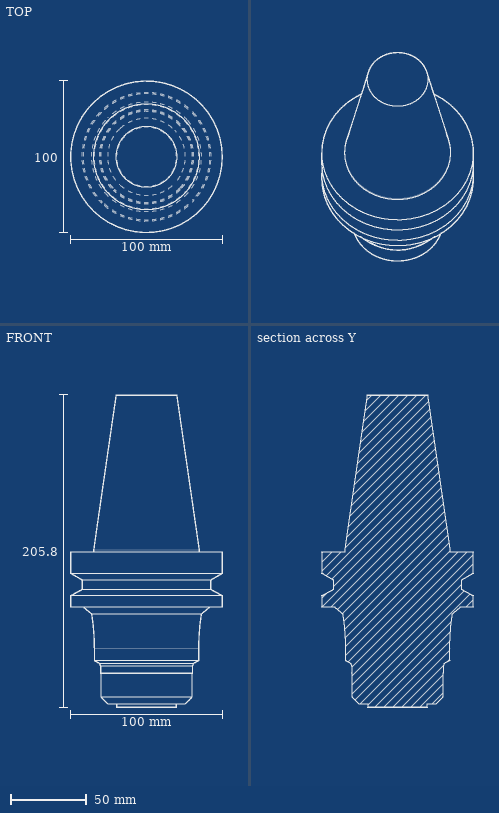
import cadquery as cq

total_height = 205.8

spigot_diameter = 39.3
nut_diameter = 60.0
neck_diameter = 60.7
neck_top_diameter = 62.2
collar_diameter = 69.0
body_top_diameter = 72.5
flange_root_diameter = 83.3
groove_diameter = 85.0
flange_diameter = 100.0
taper_large_diameter = 69.8
taper_small_diameter = 40.1

nut_bottom = 2.3
nut_chamfer = 4.5
nut_top = 22.2
nut_step_top = 22.6
neck_top = 27.2
collar_chamfer_bottom = 29.0
collar_bottom = 30.9
collar_top = 38.9
body_top = 61.5
flange_bottom = 66.0
groove_lower_edge = 73.7
groove_floor_bottom = 77.8
groove_floor_top = 84.0
groove_upper_edge = 88.3
flange_top = 102.5
taper_bottom = 103.7


def at(diameter, height):
    """Profile point in the XZ half plane."""
    return (diameter / 2, height)


profile = (
    cq.Workplane("XZ")
    .lineTo(*at(spigot_diameter, 0))
    .lineTo(*at(spigot_diameter, nut_bottom))
    .lineTo(*at(nut_diameter - 2 * nut_chamfer, nut_bottom))
    .lineTo(*at(nut_diameter, nut_bottom + nut_chamfer))
    .lineTo(*at(nut_diameter, nut_top))
    .lineTo(*at(neck_diameter, nut_step_top))
    .lineTo(*at(neck_diameter, neck_top))
    .lineTo(*at(neck_top_diameter, collar_chamfer_bottom))
    .lineTo(*at(collar_diameter, collar_bottom))
    .lineTo(*at(collar_diameter, collar_top))
    .tangentArcPoint(at(body_top_diameter, body_top), relative=False)
    .lineTo(*at(flange_root_diameter, flange_bottom))
    .lineTo(*at(flange_diameter, flange_bottom))
    .lineTo(*at(flange_diameter, groove_lower_edge))
    .lineTo(*at(groove_diameter, groove_floor_bottom))
    .lineTo(*at(groove_diameter, groove_floor_top))
    .lineTo(*at(flange_diameter, groove_upper_edge))
    .lineTo(*at(flange_diameter, flange_top))
    .lineTo(*at(taper_large_diameter, flange_top))
    .lineTo(*at(taper_large_diameter, taper_bottom))
    .lineTo(*at(taper_small_diameter, total_height))
    .lineTo(*at(0, total_height))
    .close()
)

result = profile.revolve(360, (0, 0, 0), (0, 1, 0))